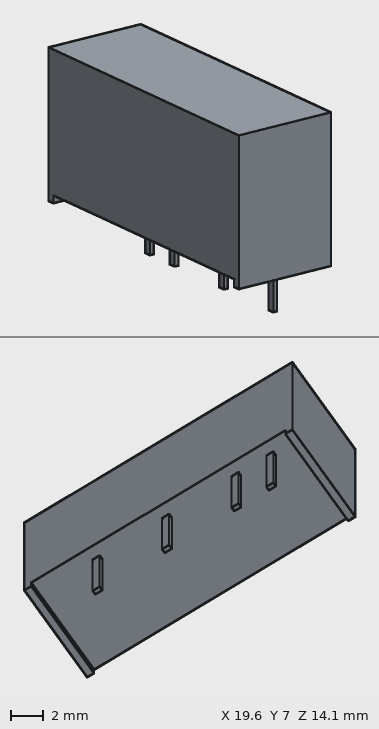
import cadquery as cq

housing_length = 19.6
housing_depth = 7.0
housing_height = 10.0
foot_width = 0.5
foot_height = 0.5

pin_width = 0.5
pin_thickness = 0.3
pin_drop = 4.1
pin_pitch = 2.538
first_pin_inset = 2.15
pin_row_inset = 0.92
pin_slots = (0, 1, 3, 5)


def make_housing():
    """Block standing on a full-depth foot at each end."""
    block = cq.Workplane("XY").box(
        housing_length, housing_depth, housing_height, centered=(True, True, False)
    )
    channel = cq.Workplane("XY").box(
        housing_length - 2 * foot_width, housing_depth, foot_height, centered=(True, True, False)
    )
    return block.cut(channel)


def make_pins():
    """Flat pins hanging from the floor of the channel between the feet."""
    first_pin_x = first_pin_inset - housing_length / 2
    pin_y = housing_depth / 2 - pin_row_inset
    pin_centres = [(first_pin_x + slot * pin_pitch, pin_y) for slot in pin_slots]
    return (
        cq.Workplane("XY")
        .workplane(offset=foot_height)
        .pushPoints(pin_centres)
        .rect(pin_width, pin_thickness)
        .extrude(-(foot_height + pin_drop))
    )


result = make_housing().union(make_pins())